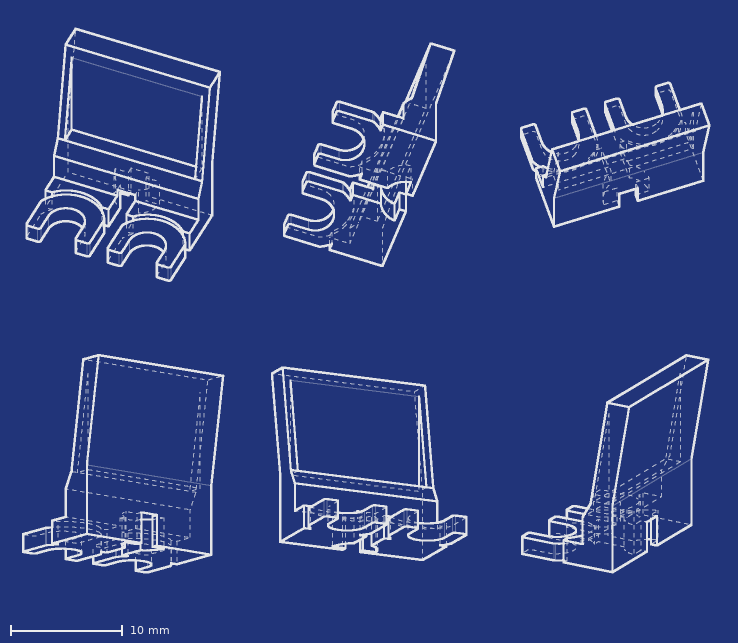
import cadquery as cq
import math

WIDTH = 14.1
HEIGHT = 16.1

LEAN_OFFSET = 1.74
BACK_BEND_Z = 6.33
TOP_THICKNESS = 2.27
LEAN_FRONT_Y = -2.27
LEAN_FRONT_Z = 6.12
UPRIGHT_FRONT_Y = -3.1
UPRIGHT_FRONT_Z = 4.67
FOOT_FRONT_Y = -5.05
FOOT_HEIGHT = 2.11

RECESS_WIDTH = 12.72
RECESS_TOP_Z = 14.92

NOTCH_WIDTH = 1.74
NOTCH_HEIGHT = 2.82

CAVITY_RADIUS = 2.15
CAVITY_CENTER_Y = -0.42
CAVITY_BACK_Y = -0.63

LUG_WIDTH = (WIDTH - NOTCH_WIDTH) / 2
LUG_SPACING = LUG_WIDTH + NOTCH_WIDTH
LUG_THICKNESS = 1.61
LUG_TIP_Y = LEAN_OFFSET - 11.17
LUG_BACK_Y = -4.02
LUG_OUTER_RADIUS = 3.41
LUG_CORNER_RADIUS = 0.32
SLOT_RADIUS = 1.7
SLOT_CENTER_Y = -7.53
TIP_RADIUS = 0.21


def lug_outline(height):
    """Upright prism with a rounded back, before its slot is cut."""
    half = LUG_WIDTH / 2
    arc_center_y = LUG_BACK_Y - LUG_OUTER_RADIUS
    shoulder_y = arc_center_y + math.sqrt(LUG_OUTER_RADIUS**2 - half**2)
    return (
        cq.Workplane("XY")
        .moveTo(-half, LUG_TIP_Y)
        .lineTo(-half, shoulder_y)
        .threePointArc((0, LUG_BACK_Y), (half, shoulder_y))
        .lineTo(half, LUG_TIP_Y)
        .close()
        .extrude(height)
        .edges("|Z")
        .edges(">Y")
        .fillet(LUG_CORNER_RADIUS)
    )


def make_lug():
    """Lug with a U-shaped slot open at the tip and rounded tip corners."""
    slot = (
        cq.Workplane("XY")
        .moveTo(-SLOT_RADIUS, LUG_TIP_Y)
        .lineTo(-SLOT_RADIUS, SLOT_CENTER_Y)
        .threePointArc((0, SLOT_CENTER_Y + SLOT_RADIUS), (SLOT_RADIUS, SLOT_CENTER_Y))
        .lineTo(SLOT_RADIUS, LUG_TIP_Y)
        .close()
        .extrude(LUG_THICKNESS)
    )
    lug = lug_outline(LUG_THICKNESS).cut(slot)
    return lug.faces("<Y").edges("|Z").fillet(TIP_RADIUS)


def make_upright():
    """Leaning wall and foot, extruded across the width."""
    return (
        cq.Workplane("YZ")
        .polyline([
            (0, 0),
            (0, BACK_BEND_Z),
            (LEAN_OFFSET, HEIGHT),
            (LEAN_OFFSET - TOP_THICKNESS, HEIGHT),
            (LEAN_FRONT_Y, LEAN_FRONT_Z),
            (UPRIGHT_FRONT_Y, UPRIGHT_FRONT_Z),
            (UPRIGHT_FRONT_Y, FOOT_HEIGHT),
            (FOOT_FRONT_Y, FOOT_HEIGHT),
            (FOOT_FRONT_Y, 0),
        ])
        .close()
        .extrude(WIDTH / 2, both=True)
    )


def make_recess():
    """Wedge between the leaning front face and a vertical back wall."""
    front_top_y = LEAN_OFFSET - TOP_THICKNESS
    lean_slope = (front_top_y - LEAN_FRONT_Y) / (HEIGHT - LEAN_FRONT_Z)
    recess_back_y = LEAN_FRONT_Y + lean_slope * (RECESS_TOP_Z - LEAN_FRONT_Z)
    return (
        cq.Workplane("YZ")
        .polyline([
            (LEAN_FRONT_Y, LEAN_FRONT_Z),
            (recess_back_y, RECESS_TOP_Z),
            (recess_back_y, LEAN_FRONT_Z),
        ])
        .close()
        .extrude(RECESS_WIDTH / 2, both=True)
    )


def make_notch():
    """Opening through the base between the feet."""
    through_length = -2 * FOOT_FRONT_Y
    return cq.Workplane("XY").box(NOTCH_WIDTH, through_length, NOTCH_HEIGHT, centered=(True, True, False))


def make_cavity():
    """Vertical cylinder as tall as the notch, cut off flat before the back of the base."""
    half_chord = math.sqrt(CAVITY_RADIUS**2 - (CAVITY_BACK_Y - CAVITY_CENTER_Y)**2)
    return (
        cq.Workplane("XY")
        .moveTo(-half_chord, CAVITY_BACK_Y)
        .threePointArc((0, CAVITY_CENTER_Y - CAVITY_RADIUS), (half_chord, CAVITY_BACK_Y))
        .close()
        .extrude(NOTCH_HEIGHT)
    )


def make_bracket():
    """One-piece bracket: wall, feet and the two lugs set into the feet."""
    bracket = make_upright().cut(make_recess()).cut(make_notch()).cut(make_cavity())
    for side in (-1, 1):
        offset = (side * LUG_SPACING / 2, 0, 0)
        clearance = lug_outline(FOOT_HEIGHT).translate(offset)
        bracket = bracket.cut(clearance).union(make_lug().translate(offset))
    return bracket


bracket = make_bracket()
result = cq.Compound.makeCompound([bracket.val()])